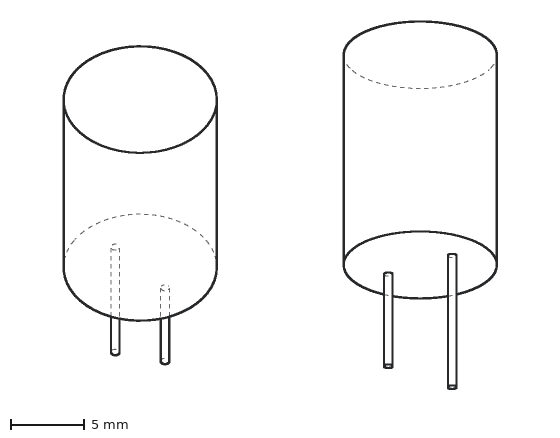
import cadquery as cq

can_diameter = 10.5
total_height = 26.0
long_lead_length = 10.0
can_height = total_height - long_lead_length

lead_diameter = 0.6
short_lead_length = 7.0
lead_pitch = can_diameter / 2


def make_can():
    """Plain solid cylinder centred on the Z axis."""
    return cq.Workplane("XY").circle(can_diameter / 2).extrude(can_height)


def make_lead(x, length):
    """Straight round lead hanging down from the underside of the can."""
    return cq.Workplane("XY").center(x, 0).circle(lead_diameter / 2).extrude(-length)


can = make_can()
lead_layout = [(-lead_pitch / 2, long_lead_length), (lead_pitch / 2, short_lead_length)]
leads = [make_lead(x, length) for x, length in lead_layout]

result = cq.Compound.makeCompound([can.val(), *[lead.val() for lead in leads]])